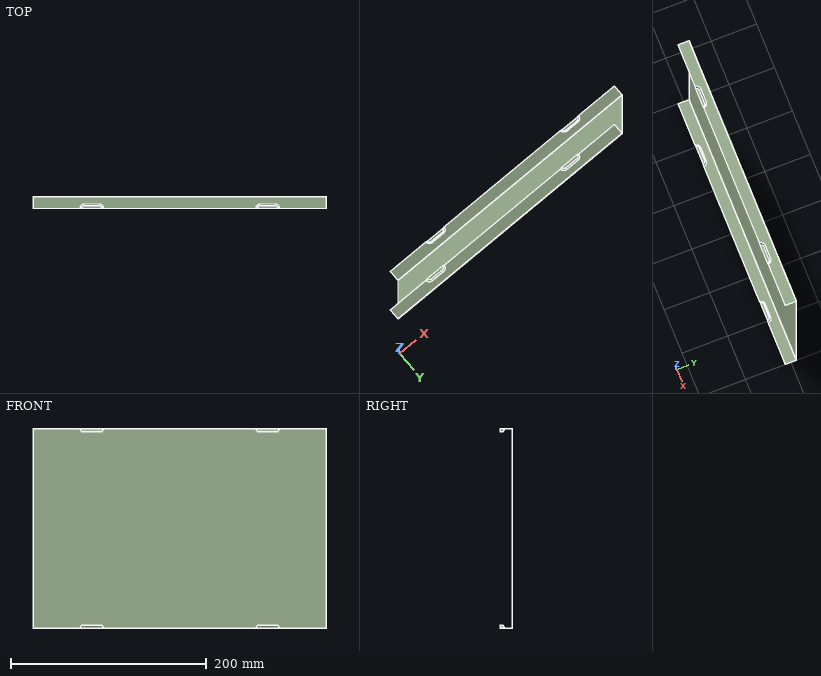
import cadquery as cq
import math

length = 300.0
depth = 12.5
height = 204.5
thickness = 0.5

recess_offset = 90.0
recess_drop = 3.5
back_wall_width = 15.0
rim_radius = 5.0
wall_angle = 30.0

flange_edge_y = -depth / 2
flange_face_z = height / 2


def recess_outline(plane, radius):
    """Straight back wall with a quarter round at each end, open side on the flange edge."""
    half_back = back_wall_width / 2
    half_mouth = half_back + radius
    bulge = radius * math.sqrt(0.5)
    return (
        plane.moveTo(-half_mouth, 0)
        .lineTo(half_mouth, 0)
        .threePointArc((half_back + bulge, bulge), (half_back, radius))
        .lineTo(-half_back, radius)
        .threePointArc((-half_back - bulge, bulge), (-half_mouth, 0))
        .close()
    )


def recess_body(inset, drop):
    """Tapered block below the upper flange face, narrowing towards the floor."""
    top_radius = rim_radius - inset
    floor_radius = top_radius - drop * math.tan(math.radians(wall_angle))
    flange_face = cq.Workplane("XY", origin=(0, flange_edge_y, flange_face_z))
    rim = recess_outline(flange_face, top_radius)
    floor = recess_outline(rim.workplane(offset=-drop), floor_radius)
    return floor.loft(ruled=True)


def make_channel():
    """Panel on the +Y side with both flanges pointing towards -Y."""
    outside = cq.Workplane("XY").box(length, depth, height)
    inside = cq.Workplane("XY").box(length, depth, height - 2 * thickness)
    return outside.cut(inside.translate((0, -thickness, 0)))


def add_recesses(body):
    """Press two recesses into each flange, mirrored about the middle height."""
    shell = recess_body(0, recess_drop)
    hollow = recess_body(thickness, recess_drop - thickness)
    for x in (-recess_offset, recess_offset):
        upper_shell = shell.translate((x, 0, 0))
        upper_hollow = hollow.translate((x, 0, 0))
        body = body.union(upper_shell).union(upper_shell.mirror("XY"))
        body = body.cut(upper_hollow).cut(upper_hollow.mirror("XY"))
    return body


result = add_recesses(make_channel())